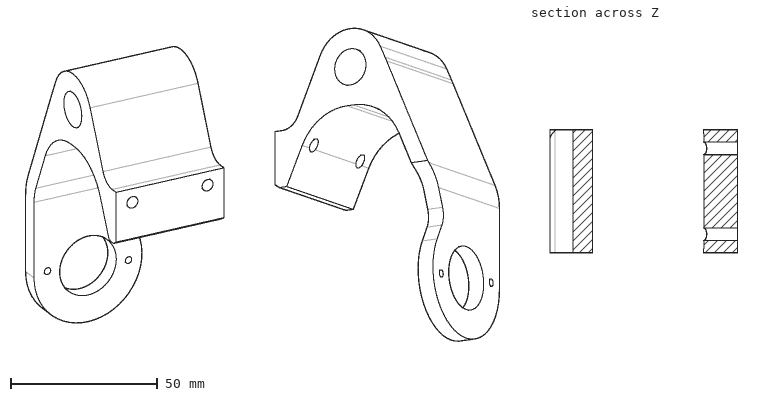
import cadquery as cq
import math

LENGTH_X = 64.0
WIDTH = 42.0
HEIGHT = 108.2

BOSS_RADIUS = 13.4
PIVOT_DIAMETER = 12.7
PIVOT_X = 33.5
PIVOT_Z = HEIGHT - BOSS_RADIUS
BOSS_LEFT_ANGLE = 25.3
BOSS_RIGHT_ANGLE = 24.3

PLATE_THICKNESS = 6.1
ARM_ANGLE = 24.3
OUTER_BEND_Z = 53.6
OUTER_BEND_RADIUS = 20.0
INNER_BEND_RADIUS = OUTER_BEND_RADIUS - PLATE_THICKNESS
ARM_KINK_Z = 95.8
ARM_KINK_RADIUS = 86.6

ARCH_TOP_Z = PIVOT_Z - BOSS_RADIUS
ARCH_RADIUS = 20.0
ARCH_HALF_FLAT = 1.3
ARCH_ANGLE = 24.8

LIP_TOP_Z = 76.0
LIP_BOTTOM_Z = 56.2
LIP_FILLET_RADIUS = 7.0
LIP_CHAMFER_X = 1.7
LIP_CHAMFER_Z = 1.2
LIP_HOLE_DIAMETER = 4.2
LIP_HOLE_OFFSET = 14.6
LIP_HOLE_Z = 70.9

END_RADIUS = WIDTH / 2
BORE_DIAMETER = 22.0
PIN_DIAMETER = 2.5
PIN_CIRCLE_RADIUS = 15.8
PIN_TILT = 5.0
RELIEF_TOP_Z = 58.3
RELIEF_CORNER = (13.6, 39.6)
RELIEF_FLANK_ANGLE = 29.0
RELIEF_RADIUS = 7.4


def slope(angle):
    """Sideways travel per unit of height for a line tilted from vertical."""
    return math.tan(math.radians(angle))


def polar(center, radius, angle):
    a = math.radians(angle)
    return (center[0] + radius * math.cos(a), center[1] + radius * math.sin(a))


def rounded_line(sketch, before, corner, after, radius):
    """Draw a line towards a corner, then the arc that rounds it."""
    start_len = math.dist(before, corner)
    end_len = math.dist(after, corner)
    u = [(b - c) / start_len for b, c in zip(before, corner)]
    v = [(a - c) / end_len for a, c in zip(after, corner)]
    half = math.acos(u[0] * v[0] + u[1] * v[1]) / 2
    setback = radius / math.tan(half)
    rise = radius / math.sin(half) - radius
    bisector_len = math.hypot(u[0] + v[0], u[1] + v[1])
    start = [c + setback * d for c, d in zip(corner, u)]
    middle = [c + rise * (d + e) / bisector_len for c, d, e in zip(corner, u, v)]
    end = [c + setback * d for c, d in zip(corner, v)]
    return sketch.lineTo(*start).threePointArc(middle, end)


def side_profile():
    """Bracket silhouette in the XZ plane, extruded over the full width."""
    pivot = (PIVOT_X, PIVOT_Z)
    boss_left = polar(pivot, BOSS_RADIUS, 180 - BOSS_LEFT_ANGLE)
    boss_right = polar(pivot, BOSS_RADIUS, BOSS_RIGHT_ANGLE)
    kink = (boss_left[0] - (boss_left[1] - ARM_KINK_Z) * slope(BOSS_LEFT_ANGLE), ARM_KINK_Z)
    outer_bend = (0, OUTER_BEND_Z)
    lip_root = (boss_right[0] + (boss_right[1] - LIP_TOP_Z) * slope(BOSS_RIGHT_ANGLE), LIP_TOP_Z)
    lip_end = (LENGTH_X, LIP_TOP_Z)

    arch_z = ARCH_TOP_Z - ARCH_RADIUS
    right_center = (PIVOT_X + ARCH_HALF_FLAT, arch_z)
    left_center = (PIVOT_X - ARCH_HALF_FLAT, arch_z)
    arch_right = polar(right_center, ARCH_RADIUS, ARCH_ANGLE)
    arch_left = polar(left_center, ARCH_RADIUS, 180 - ARCH_ANGLE)
    middle_angle = (90 + ARCH_ANGLE) / 2
    lip_tip_x = arch_right[0] + (arch_right[1] - LIP_BOTTOM_Z) * slope(ARCH_ANGLE)
    inner_bend_z = arch_left[1] - (arch_left[0] - PLATE_THICKNESS) / slope(ARM_ANGLE)
    inner_bend = (PLATE_THICKNESS, inner_bend_z)

    sketch = cq.Workplane("XZ").moveTo(0, 0)
    sketch = rounded_line(sketch, (0, 0), outer_bend, kink, OUTER_BEND_RADIUS)
    sketch = rounded_line(sketch, outer_bend, kink, boss_left, ARM_KINK_RADIUS)
    sketch = sketch.lineTo(*boss_left).threePointArc((PIVOT_X, HEIGHT), boss_right)
    sketch = rounded_line(sketch, boss_right, lip_root, lip_end, LIP_FILLET_RADIUS)
    sketch = (
        sketch.lineTo(*lip_end)
        .lineTo(LENGTH_X, LIP_BOTTOM_Z + LIP_CHAMFER_Z)
        .lineTo(LENGTH_X - LIP_CHAMFER_X, LIP_BOTTOM_Z)
        .lineTo(lip_tip_x, LIP_BOTTOM_Z)
        .lineTo(*arch_right)
        .threePointArc(polar(right_center, ARCH_RADIUS, middle_angle), (right_center[0], ARCH_TOP_Z))
        .lineTo(left_center[0], ARCH_TOP_Z)
        .threePointArc(polar(left_center, ARCH_RADIUS, 180 - middle_angle), arch_left)
    )
    sketch = rounded_line(sketch, arch_left, inner_bend, (PLATE_THICKNESS, 0), INNER_BEND_RADIUS)
    return sketch.lineTo(PLATE_THICKNESS, 0).close().extrude(WIDTH / 2, both=True)


def plate_outline():
    """Bracket outline in the YZ plane: round end, and relief on the +Y side."""
    end_center = (0, END_RADIUS)
    flank = polar(end_center, END_RADIUS, RELIEF_FLANK_ANGLE)
    relief_top = (WIDTH / 2, RELIEF_TOP_Z)
    sketch = (
        cq.Workplane("YZ")
        .moveTo(-WIDTH / 2, HEIGHT)
        .lineTo(-WIDTH / 2, END_RADIUS)
        .threePointArc((0, 0), flank)
    )
    sketch = rounded_line(sketch, flank, RELIEF_CORNER, relief_top, RELIEF_RADIUS)
    return sketch.lineTo(*relief_top).lineTo(WIDTH / 2, HEIGHT).close().extrude(PIVOT_X)


def holes_along_x(points, diameter, start_x, length):
    plane = cq.Workplane("YZ", origin=(start_x, 0, 0))
    return plane.pushPoints(points).circle(diameter / 2).extrude(length)


lip_side = cq.Workplane("XY").box(LENGTH_X, WIDTH, HEIGHT, centered=(False, True, False))
lip_side = lip_side.translate((PIVOT_X, 0, 0))
result = side_profile().intersect(plate_outline().union(lip_side)).clean()

pivot_hole = cq.Workplane("XZ").center(PIVOT_X, PIVOT_Z).circle(PIVOT_DIAMETER / 2)
result = result.cut(pivot_hole.extrude(WIDTH / 2, both=True))

bore_center = (0, END_RADIUS)
pin_points = [polar(bore_center, PIN_CIRCLE_RADIUS, side - PIN_TILT) for side in (0, 180)]
result = result.cut(holes_along_x([bore_center], BORE_DIAMETER, 0, PLATE_THICKNESS))
result = result.cut(holes_along_x(pin_points, PIN_DIAMETER, 0, PLATE_THICKNESS))

lip_points = [(side * LIP_HOLE_OFFSET, LIP_HOLE_Z) for side in (-1, 1)]
result = result.cut(holes_along_x(lip_points, LIP_HOLE_DIAMETER, PIVOT_X, LENGTH_X - PIVOT_X))